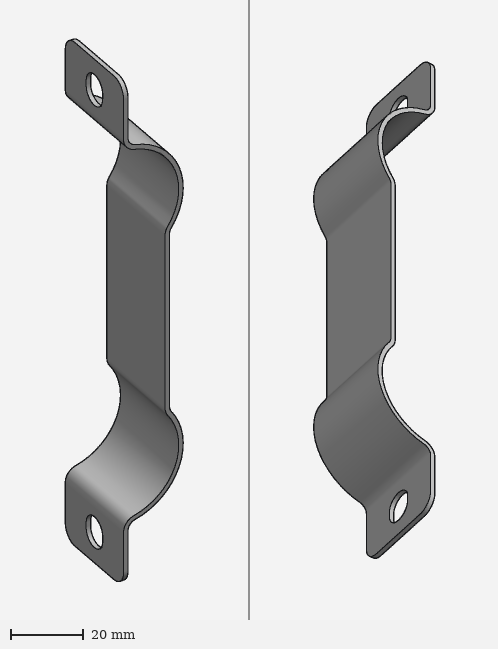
import cadquery as cq
import math

length = 165.2
width = 30.0
depth = 19.5
thickness = 1.5

saddle_z = 42.0
saddle_outer_radius = 20.0
bend_inner_radius = 3.0
web_front = 13.5

corner_radius = 5.0
slot_width = 8.5
slot_height = 10.0
slot_z = 72.5

bend_reach = saddle_outer_radius + bend_inner_radius
bend_offset = thickness + bend_inner_radius
saddle_y = depth - saddle_outer_radius
saddle_center = (saddle_y, saddle_z)


def bend_center(sheet_front, side):
    """Centre of the bend tangent to a flat sheet and to the saddle; side is +1 above, -1 below."""
    y = sheet_front + bend_offset
    rise = math.sqrt(bend_reach**2 - (y - saddle_y) ** 2)
    return (y, saddle_z + side * rise)


web_bend = bend_center(web_front, -1)
tab_bend = bend_center(0.0, 1)


def polar(center, radius, angle):
    return (center[0] + radius * math.cos(angle), center[1] + radius * math.sin(angle))


web_angle = math.atan2(web_bend[1] - saddle_z, web_bend[0] - saddle_y)
tab_angle = math.atan2(tab_bend[1] - saddle_z, tab_bend[0] - saddle_y)


def face_points(setback):
    """Upper-half corners and arc midpoints of the sheet face lying setback behind its front."""
    saddle_radius = saddle_outer_radius - thickness + setback
    bend_radius = bend_offset - setback
    return [
        (web_front + setback, 0),
        (web_front + setback, web_bend[1]),
        polar(web_bend, bend_radius, math.pi + web_angle / 2),
        polar(saddle_center, saddle_radius, web_angle),
        polar(saddle_center, saddle_radius, (web_angle + tab_angle) / 2),
        polar(saddle_center, saddle_radius, tab_angle),
        polar(tab_bend, bend_radius, math.pi + tab_angle / 2),
        (setback, tab_bend[1]),
        (setback, length / 2),
    ]


def trace(profile, points):
    """Draw flat, web bend, saddle, tab bend and flat, starting at the first point."""
    profile = profile.lineTo(*points[1])
    for start in (2, 4, 6):
        profile = profile.threePointArc(points[start], points[start + 1])
    return profile.lineTo(*points[-1])


def make_half_strap():
    front = face_points(0)
    back = face_points(thickness)
    back.reverse()
    profile = trace(cq.Workplane("YZ").moveTo(*front[0]), front)
    profile = trace(profile.lineTo(*back[0]), back)
    half = profile.close().extrude(width / 2, both=True)
    return half.faces(">Z").edges("|Y").fillet(corner_radius)


def make_slot():
    """Upright obround cutter through the upper tab."""
    return (
        cq.Workplane("XZ")
        .center(0, slot_z)
        .slot2D(slot_height, slot_width, 90)
        .extrude(2 * thickness, both=True)
    )


upper_half = make_half_strap().cut(make_slot())
strap = upper_half.union(upper_half.mirror("XY")).clean()
result = strap.translate((0, -depth / 2, 0))